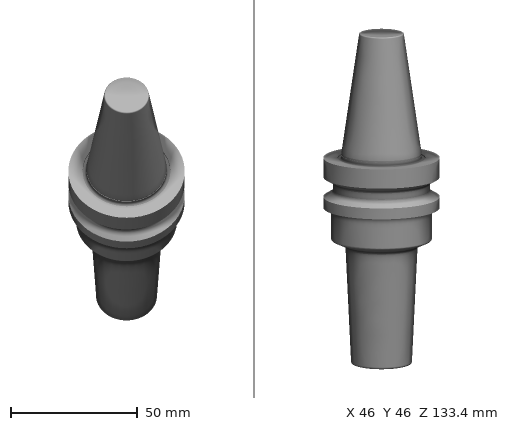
import cadquery as cq
import math

total_height = 133.4
gauge_z = 85.0
relief_bottom_z = 84.3
flange_top_z = 83.1
groove_top_z = 75.4
groove_bottom_z = 67.4
flange_bottom_z = 63.0
collar_bottom_z = 50.2
shoulder_drop = 2.7

flange_radius = 46.0 / 2
groove_root_radius = 19.2
collar_radius = 20.0
nose_top_radius = 14.3
nose_bottom_radius = 12.0
taper_large_radius = 15.9
relief_radius = 15.7
taper_ratio = 7 / 24

recess_radius = 17.3
recess_depth = 0.5
recess_fillet = 0.8

groove_angle = math.radians(30)
groove_fillet = 1.0
collar_edge_fillet = 0.8
nose_root_fillet = 1.1
nose_tip_fillet = 1.0
taper_tip_fillet = 0.5

taper_small_radius = taper_large_radius - (total_height - gauge_z) * taper_ratio / 2
recess_floor_z = flange_top_z - recess_depth
groove_drop = (flange_radius - groove_root_radius) * math.tan(groove_angle)
groove_root_top_z = groove_top_z - groove_drop
groove_root_bottom_z = groove_bottom_z + groove_drop
nose_top_z = collar_bottom_z - shoulder_drop


def revolved_body():
    """Solid of revolution with every circular edge still sharp."""
    profile = [
        (0, 0),
        (nose_bottom_radius, 0),
        (nose_top_radius, nose_top_z),
        (collar_radius, collar_bottom_z),
        (collar_radius, flange_bottom_z),
        (flange_radius, flange_bottom_z),
        (flange_radius, groove_bottom_z),
        (groove_root_radius, groove_root_bottom_z),
        (groove_root_radius, groove_root_top_z),
        (flange_radius, groove_top_z),
        (flange_radius, flange_top_z),
        (recess_radius, flange_top_z),
        (recess_radius, recess_floor_z),
        (taper_large_radius, recess_floor_z),
        (taper_large_radius, relief_bottom_z),
        (relief_radius, relief_bottom_z),
        (relief_radius, gauge_z),
        (taper_large_radius, gauge_z),
        (taper_small_radius, total_height),
        (0, total_height),
    ]
    return cq.Workplane("XZ").polyline(profile).close().revolve(360, (0, 0), (0, 1))


def fillet_ring(body, radius, z, fillet):
    """Round the circular edge that has the given radius and height."""
    margin = 0.07
    half_width = radius + margin
    ring_box = cq.selectors.BoxSelector(
        (-half_width, -half_width, z - margin),
        (half_width, half_width, z + margin),
        boundingbox=True,
    )
    inner_width = radius - margin
    inner_box = cq.selectors.BoxSelector(
        (-inner_width, -inner_width, z - margin),
        (inner_width, inner_width, z + margin),
        boundingbox=True,
    )
    return body.edges(ring_box - inner_box).fillet(fillet)


rounded_edges = [
    (nose_bottom_radius, 0, nose_tip_fillet),
    (nose_top_radius, nose_top_z, nose_root_fillet),
    (collar_radius, collar_bottom_z, collar_edge_fillet),
    (groove_root_radius, groove_root_bottom_z, groove_fillet),
    (groove_root_radius, groove_root_top_z, groove_fillet),
    (taper_large_radius, recess_floor_z, recess_fillet),
    (taper_small_radius, total_height, taper_tip_fillet),
]

result = revolved_body()
for edge_radius, edge_z, edge_fillet in rounded_edges:
    result = fillet_ring(result, edge_radius, edge_z, edge_fillet)